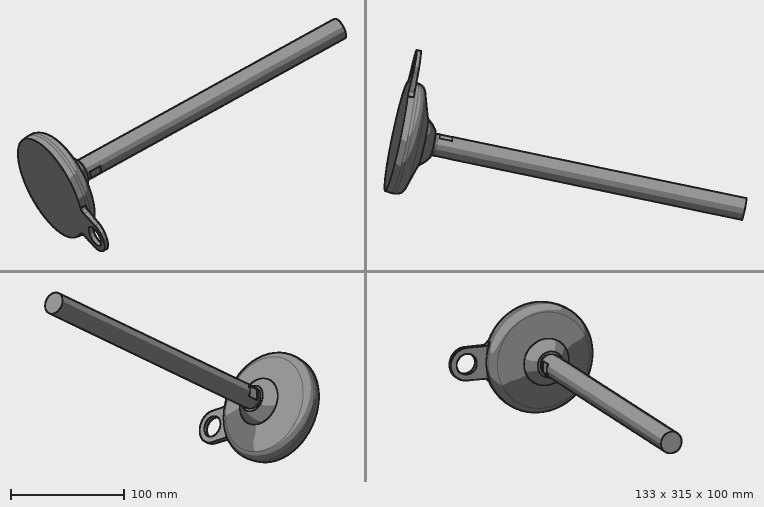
import cadquery as cq
import math

TOTAL_LENGTH = 315.0
TOTAL_WIDTH = 133.0

PLATE_DIAMETER = 100.0
PLATE_RADIUS = PLATE_DIAMETER / 2
SOLE_RADIUS = 49.0
DRAFT_HEIGHT = 5.7
RIM_HEIGHT = 8.5
SHOULDER_RADIUS = 8.5
PLATE_HEIGHT = 24.0
SEAT_RADIUS = 21.5

LUG_WIDTH = 30.0
LUG_RADIUS = LUG_WIDTH / 2
LUG_REACH = TOTAL_WIDTH - PLATE_RADIUS
LUG_CENTER_X = LUG_REACH - LUG_RADIUS
LUG_HOLE_RADIUS = 9.5
LUG_FILLET = 4.7
LUG_ROOT_HEIGHT = 5.5
LUG_TIP_HEIGHT = 3.8

SPINDLE_DIAMETER = 20.0
SPINDLE_RADIUS = SPINDLE_DIAMETER / 2
DOME_TOP = 33.0
DOME_TOP_RADIUS = 12.0
DOME_ARC_RADIUS = 31.5
NECK_DIAMETER = 19.2
NECK_RADIUS = NECK_DIAMETER / 2
TAPER_START = 34.0
NECK_TOP = 35.3
FLAT_ACROSS = 17.0
FLAT_START = 37.2
FLAT_END = 48.5


def make_plate_body():
    """Revolve the plate: drafted rim, rounded shoulder and cone up to the seat."""
    center_r = PLATE_RADIUS - SHOULDER_RADIUS
    run = center_r - SEAT_RADIUS
    rise = PLATE_HEIGHT - RIM_HEIGHT
    normal_angle = math.atan2(rise, -run) - math.acos(SHOULDER_RADIUS / math.hypot(run, rise))
    middle_angle = normal_angle / 2

    def shoulder_point(angle):
        return (
            center_r + SHOULDER_RADIUS * math.cos(angle),
            RIM_HEIGHT + SHOULDER_RADIUS * math.sin(angle),
        )

    profile = (
        cq.Workplane("XY")
        .lineTo(SOLE_RADIUS, 0)
        .lineTo(PLATE_RADIUS, DRAFT_HEIGHT)
        .lineTo(PLATE_RADIUS, RIM_HEIGHT)
        .threePointArc(shoulder_point(middle_angle), shoulder_point(normal_angle))
        .lineTo(SEAT_RADIUS, PLATE_HEIGHT)
        .lineTo(0, PLATE_HEIGHT)
        .close()
    )
    return profile.revolve(360, (0, 0, 0), (0, 1, 0))


def make_lug():
    """Lug with a sloping top, a round end and fillets running into the rim."""
    fillet_z = LUG_RADIUS + LUG_FILLET
    fillet_reach = PLATE_RADIUS + LUG_FILLET
    fillet_x = math.sqrt(fillet_reach**2 - fillet_z**2)
    rim_x = fillet_x * PLATE_RADIUS / fillet_reach
    rim_z = fillet_z * PLATE_RADIUS / fillet_reach
    middle_angle = (math.atan2(fillet_z, fillet_x) + math.pi / 2) / 2
    middle_x = fillet_x - LUG_FILLET * math.cos(middle_angle)
    middle_z = fillet_z - LUG_FILLET * math.sin(middle_angle)

    outline = (
        cq.Workplane("XZ")
        .moveTo(0, -rim_z)
        .lineTo(rim_x, -rim_z)
        .threePointArc((middle_x, -middle_z), (fillet_x, -LUG_RADIUS))
        .lineTo(LUG_CENTER_X, -LUG_RADIUS)
        .threePointArc((LUG_REACH, 0), (LUG_CENTER_X, LUG_RADIUS))
        .lineTo(fillet_x, LUG_RADIUS)
        .threePointArc((middle_x, middle_z), (rim_x, rim_z))
        .lineTo(0, rim_z)
        .close()
        .extrude(-RIM_HEIGHT)
    )
    wedge = (
        cq.Workplane("XY")
        .lineTo(LUG_REACH, 0)
        .lineTo(LUG_REACH, LUG_TIP_HEIGHT)
        .lineTo(PLATE_RADIUS, LUG_ROOT_HEIGHT)
        .lineTo(0, LUG_ROOT_HEIGHT)
        .close()
        .extrude(rim_z, both=True)
    )
    hole = (
        cq.Workplane("XZ")
        .center(LUG_CENTER_X, 0)
        .circle(LUG_HOLE_RADIUS)
        .extrude(-RIM_HEIGHT)
    )
    return outline.intersect(wedge).cut(hole)


def make_foot():
    return make_plate_body().union(make_lug())


def make_spindle():
    """Domed base, tapered neck and long rod with two wrench flats."""
    chord_r = SEAT_RADIUS - DOME_TOP_RADIUS
    chord_y = DOME_TOP - PLATE_HEIGHT
    chord = math.hypot(chord_r, chord_y)
    bulge = DOME_ARC_RADIUS - math.sqrt(DOME_ARC_RADIUS**2 - (chord / 2) ** 2)
    dome_middle = (
        (SEAT_RADIUS + DOME_TOP_RADIUS) / 2 + bulge * chord_y / chord,
        (PLATE_HEIGHT + DOME_TOP) / 2 + bulge * chord_r / chord,
    )
    body = (
        cq.Workplane("XY")
        .moveTo(0, PLATE_HEIGHT)
        .lineTo(SEAT_RADIUS, PLATE_HEIGHT)
        .threePointArc(dome_middle, (DOME_TOP_RADIUS, DOME_TOP))
        .lineTo(NECK_RADIUS, DOME_TOP)
        .lineTo(NECK_RADIUS, TAPER_START)
        .lineTo(SPINDLE_RADIUS, NECK_TOP)
        .lineTo(SPINDLE_RADIUS, TOTAL_LENGTH)
        .lineTo(0, TOTAL_LENGTH)
        .close()
        .revolve(360, (0, 0, 0), (0, 1, 0))
    )
    flat_length = FLAT_END - FLAT_START
    flat_middle = (FLAT_START + FLAT_END) / 2
    for side in (-1, 1):
        cutter = cq.Workplane("XY").box(SPINDLE_RADIUS, flat_length, 2 * SPINDLE_RADIUS)
        offset = side * (FLAT_ACROSS + SPINDLE_RADIUS) / 2
        body = body.cut(cutter.translate((offset, flat_middle, 0)))
    return body


foot = make_foot()
spindle = make_spindle()
result = cq.Compound.makeCompound([foot.solids().val(), spindle.solids().val()])